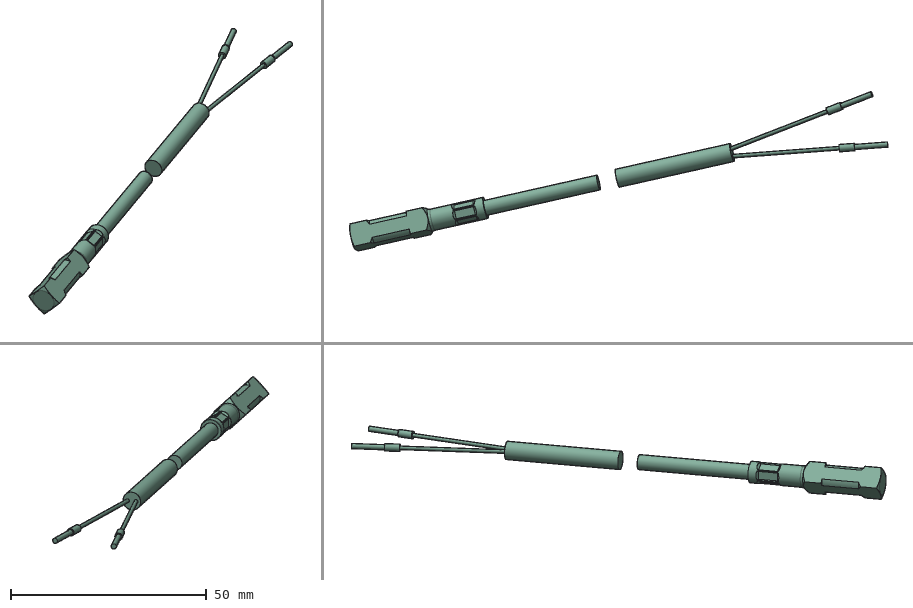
import cadquery as cq
import math

TOTAL_LENGTH = 139.4
TOTAL_WIDTH = 17.1

PLUG_DIAGONAL = 8.5
PLUG_REAR = 19.5
SHOULDER_REAR = 20.5
SHOULDER_RADIUS = 2.9
FACE_RADIUS = 2.9
FACE_CHAMFER_LENGTH = 0.4
GROOVE_RADIUS = 3.5
GROOVE_FRONT = 5.5
GROOVE_REAR = 15.2

COLLAR_RADIUS = 2.8
COLLAR_FRONT = 21.2
COLLAR_REAR = 35.1
GRIP_COUNT = 6
GRIP_FLOOR_DISTANCE = 2.2
GRIP_FLOOR_WIDTH = 2.1
GRIP_FLOOR_LENGTH = 5.0
GRIP_CENTER = 30.0
GRIP_WALL_ANGLE = 45

CABLE_RADIUS = 2.0
CABLE_REAR = 65.0

JACKET_RADIUS = 2.4
JACKET_FRONT = 70.0
JACKET_REAR = 100.2
WIRE_RADIUS = 0.49
WIRE_ANGLE = 9.8
WIRE_EMBED = 1.4
FERRULE_RADIUS = 0.7
FERRULE_LENGTH = 8.5
SLEEVE_RADIUS = 1.0
SLEEVE_LENGTH = 3.9

PLUG_HALF_DIAGONAL = PLUG_DIAGONAL / 2
GROOVE_DEPTH = PLUG_HALF_DIAGONAL - GROOVE_RADIUS
SPREAD_SIN = math.sin(math.radians(WIRE_ANGLE))
SPREAD_COS = math.cos(math.radians(WIRE_ANGLE))
WIRE_REACH = (TOTAL_LENGTH - FERRULE_RADIUS * SPREAD_SIN - JACKET_REAR) / SPREAD_COS
WIRE_ROOT_X = TOTAL_WIDTH / 2 - FERRULE_RADIUS * SPREAD_COS - WIRE_REACH * SPREAD_SIN


def cylinder_y(radius, start, end):
    """Round bar on the Y axis from start to end."""
    return cq.Workplane(cq.Solid.makeCylinder(radius, end - start, cq.Vector(0, start, 0), cq.Vector(0, 1, 0)))


def plug_envelope():
    """Turned blank that rounds off the square's corners at both ends and along the waist."""
    return (
        cq.Workplane("XY")
        .moveTo(0, 0)
        .lineTo(FACE_RADIUS, 0)
        .lineTo(PLUG_HALF_DIAGONAL, FACE_CHAMFER_LENGTH)
        .lineTo(PLUG_HALF_DIAGONAL, GROOVE_FRONT - GROOVE_DEPTH)
        .lineTo(GROOVE_RADIUS, GROOVE_FRONT)
        .lineTo(GROOVE_RADIUS, GROOVE_REAR)
        .lineTo(PLUG_HALF_DIAGONAL, GROOVE_REAR)
        .lineTo(PLUG_HALF_DIAGONAL, PLUG_REAR)
        .lineTo(SHOULDER_RADIUS, SHOULDER_REAR)
        .lineTo(COLLAR_RADIUS, COLLAR_FRONT)
        .lineTo(0, COLLAR_FRONT)
        .close()
        .revolve(360, (0, 0, 0), (0, 1, 0))
    )


def make_plug_housing():
    square_bar = cq.Workplane("XZ").polygon(4, PLUG_DIAGONAL).extrude(-COLLAR_FRONT)
    return square_bar.intersect(plug_envelope())


def grip_pocket():
    """Cutter for the pocket on the +X side, widening outward from its flat floor."""
    return (
        cq.Workplane("YZ", origin=(GRIP_FLOOR_DISTANCE, GRIP_CENTER, 0))
        .rect(GRIP_FLOOR_LENGTH, GRIP_FLOOR_WIDTH)
        .extrude(COLLAR_RADIUS - GRIP_FLOOR_DISTANCE, taper=-GRIP_WALL_ANGLE)
    )


def make_collar():
    collar = cylinder_y(COLLAR_RADIUS, COLLAR_FRONT, COLLAR_REAR)
    for i in range(GRIP_COUNT):
        collar = collar.cut(grip_pocket().rotate((0, 0, 0), (0, 1, 0), i * 360 / GRIP_COUNT))
    return collar


def make_plug_assembly():
    cable = cylinder_y(CABLE_RADIUS, COLLAR_REAR, CABLE_REAR)
    return make_plug_housing().union(make_collar()).union(cable)


def make_wire(side):
    """Wire with its insulating sleeve and ferrule, leaning to the given X side (-1 or +1)."""
    ferrule_start = WIRE_REACH - FERRULE_LENGTH
    wire = cylinder_y(WIRE_RADIUS, -WIRE_EMBED, ferrule_start)
    sleeve = cylinder_y(SLEEVE_RADIUS, ferrule_start - SLEEVE_LENGTH, ferrule_start)
    ferrule = cylinder_y(FERRULE_RADIUS, ferrule_start, WIRE_REACH)
    straight = wire.union(sleeve).union(ferrule)
    spread = straight.rotate((0, 0, 0), (0, 0, 1), -side * WIRE_ANGLE)
    return spread.translate((side * WIRE_ROOT_X, JACKET_REAR, 0))


def make_jacketed_cable():
    cable = cylinder_y(JACKET_RADIUS, JACKET_FRONT, JACKET_REAR)
    for side in (-1, 1):
        cable = cable.union(make_wire(side))
    return cable


plug_assembly = make_plug_assembly()
jacketed_cable = make_jacketed_cable()

result = cq.Compound.makeCompound([plug_assembly.val(), jacketed_cable.val()])